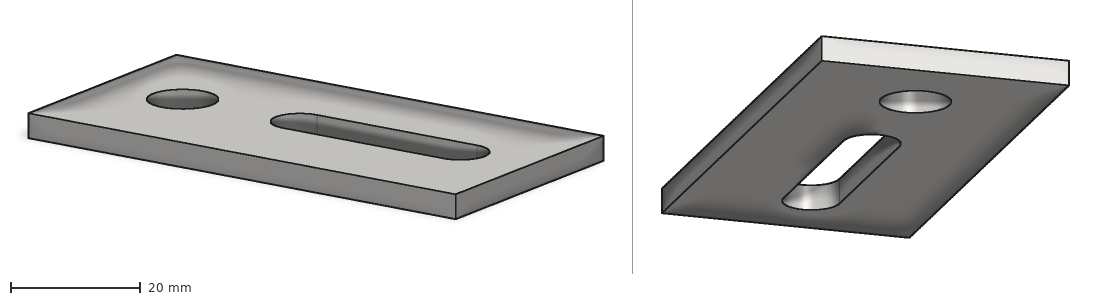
import cadquery as cq

plate_length = 80.0
plate_width = 40.0
plate_thickness = 4.0

hole_diameter = 11.0
hole_from_left = 15.0

slot_width = 9.0
slot_arc_spacing = 30.0
slot_length = slot_arc_spacing + slot_width
slot_from_left = 52.0

left_end = -plate_length / 2

plate = cq.Workplane("XY").box(plate_length, plate_width, plate_thickness)

with_hole = (
    plate.faces(">Z").workplane(origin=(0, 0, 0))
    .center(left_end + hole_from_left, 0)
    .hole(hole_diameter)
)

result = (
    with_hole.faces(">Z").workplane(origin=(0, 0, 0))
    .center(left_end + slot_from_left, 0)
    .slot2D(slot_length, slot_width)
    .cutThruAll()
)